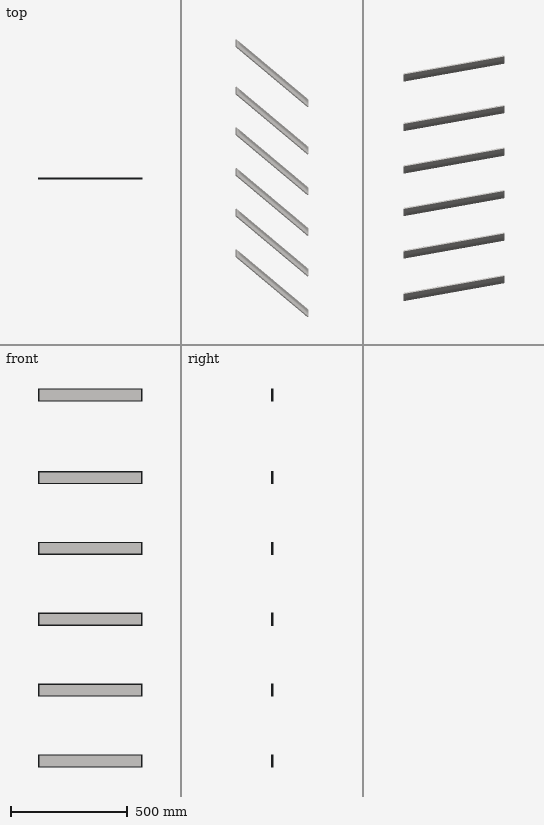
import cadquery as cq

slat_length = 441.0
slat_thickness = 6.0
stack_height = 1617.0

slat_height = 52.0
edge_radius = 0.5

slat_count = 6
top_slat_extra_rise = 50.0
slat_pitch = (stack_height - slat_height - top_slat_extra_rise) / (slat_count - 1)


def make_slat(bottom_z):
    """Flat slat, centred in X and Y, with its lower face at bottom_z."""
    return (
        cq.Workplane("XY")
        .workplane(offset=bottom_z)
        .rect(slat_length, slat_thickness)
        .extrude(slat_height)
        .edges("|X")
        .fillet(edge_radius)
    )


slat_bottoms = [index * slat_pitch for index in range(slat_count - 1)]
slat_bottoms.append(stack_height - slat_height)

slats = [make_slat(bottom_z).solids().val() for bottom_z in slat_bottoms]


result = cq.Compound.makeCompound(slats)